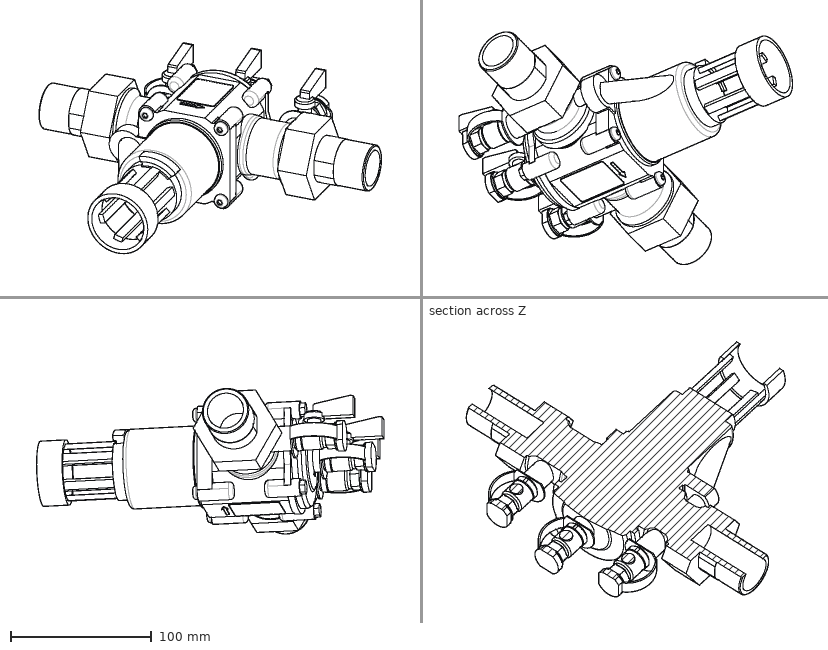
import cadquery as cq
import math


PIPE_MID = 3.8
PIPE_HALF = 126.0
THREAD_R = 33.5 / 2
THREAD_LEN = 23.2
THREAD_CHAMFER = 0.8
TAIL_R = 34.0 / 2
TAIL_FLAT = 32.0 / 2
BORE_R = 26.0 / 2
BORE_DEPTH = 50.5
NUT_OUTER = 87.7
NUT_INNER = 65.3
NUT_FLATS = 52.2
NECK_COLLAR_R = 24.0
NECK_COLLAR_LEN = 2.3
NECK_FLARE_LEN = 5.3
FLARE_HOLLOW = 0.35
INLET_R = 19.5
INLET_SHOULDER_R = 24.7
SHOULDER_TAPER = 1.8
SHOULDER_ROOT_X = -25.2
OUTLET_R = 20.5
OUTLET_STEP_R = 21.7
STEP_ROOT_X = 25.2

OVERLAP = 2.5

BODY_R = 37.5
BODY_HALF_X = 34.3
BODY_HALF_Z = 34.0
BODY_BACK = 30.5
BODY_FRONT = -37.3
COVER_R = 34.3
COVER_TOP = 41.5
DISC_R = 75.9 / 2
DISC_LEN = 4.8
PLATE_HALF_X = 35.5
PLATE_LEN = 10.8
WEB_HALF_Z = 31.0
TAB_WIDTH = 4.8
TAB_HALF_Z = 11.5
BOLT_X = 29.0
BOLT_Z = 28.7
BOSS_R = 6.3
BOLT_HEAD_R = 5.0
BOLT_HEAD_LEN = 3.8
HEX_KEY = 4.0
BOSS_ROUND = 2.8
BACK_BOSS_END = 36.5
BACK_BOSS_START = 11.0
FRONT_BOSS_END = -11.8
PANEL_X = 29.0
PANEL_Y = 36.5
PANEL_CORNER = 1.5
PANEL_RAISE = 0.63
ARROW_Y = -22.7

COLLAR_R = 30.2
COLLAR_LEN = 4.0
COLLAR_CHAMFER = 1.0
CUP_R = 28.5
CUP_END = -92.5
CUP_FILLET = 2.8
SPIGOT_R = 22.0
SPIGOT_END = -100.8
LUG_START, LUG_END = 42, 105
LUG_GROOVE_R = 24.2
LUG_GROOVE_DEPTH = 2.0
RING_R = 46.5 / 2
RING_BORE_R = 20.2
RING_BACK = -136.8
RING_FRONT = -155.2
FINGER_COUNT = 6
FINGER_START = 15
FINGER_OUTER_R = 20.5
FINGER_WIDTH = 6.5
FINGER_DEPTH = 3.8
FINGER_END = -143.6

BYPASS_X = -48.0
BYPASS_R = 6.0
UNION_X = -45.0
UNION_R = 12.5
UNION_BACK = -28.0
UNION_LEN = 10.8
UNION_ARM_HALF = 19.0 / 2
DRAIN_R = 16.0 / 2
DRAIN_ANGLE = 24.0
DRAIN_START_X = -41.8
DRAIN_LEN = 50.5

VALVE_X = (-48.0, 0.0, 55.0)
SIDE_WASHER_Y = 36.0
MIDDLE_WASHER_Y = 47.5
STUB_R = 18.0 / 2
STUB_LEN = 10.0
VALVE_NECK_R = 7.8
VALVE_COLLAR_Y = 2.5
VALVE_BARREL_Y, VALVE_BARREL_END = 7.3, 20.2
VALVE_COLLAR_R = 18.5 / 2
WASHER_R = 14.0
WASHER_LEN = 1.13
VALVE_HEX = 16.0
HEX_BACK, HEX_FRONT = 30.7, 24.0
CAP_START, CAP_END = 32.0, 36.8
CAP_COLLAR_R = 10.0
CAP_R = 10.8
CAP_HALF = 18.5 / 2
STRAP_HALF_Z = 9.8 / 2
STRAP_THICKNESS = 1.39
STRAP_BEND_X, STRAP_BEND_Y = 19.7, 13.5
STRAP_END_X, STRAP_END_Y = 8.5, 33.3
STEM_Y = 14.9
STEM_R = 4.8
STEM_HEAD_R = 7.3
STEM_CHAMFER = 1.3
STEM_HEAD_BOTTOM, STEM_HEAD_TOP = 12.5, 18.0
HANDLE_WIDTH = 7.3
HANDLE_START_Y, HANDLE_END_Y = 14.5, 43.5
HANDLE_BOTTOM, HANDLE_LOW_TOP, HANDLE_TOP = 14.0, 23.7, 28.7


def turned_x(points):
    return cq.Workplane("XY").polyline(points).close().revolve(360, (0, 0), (1, 0))


def turned_y(points):
    return cq.Workplane("XY").polyline(points).close().revolve(360, (0, 0), (0, 1))


def along_y(y0, y1):
    """Sketch plane across the Y axis, with the direction and length of its extrusion to y1."""
    return cq.Workplane("XZ", origin=(0, y0, 0)), y0 - y1


def rod_y(radius, y0, y1, x=0.0, z=0.0):
    plane, length = along_y(y0, y1)
    return plane.center(x, z).circle(radius).extrude(length)


def block(x0, x1, y0, y1, z0, z1):
    return cq.Workplane("XY").box(x1 - x0, y1 - y0, z1 - z0, centered=False).translate((x0, y0, z0))


def slab_y(half_x, half_z, y0, y1):
    return block(-half_x, half_x, y1, y0, -half_z, half_z)


def pipe_end():
    """Outlet-side tailpiece, union nut and neck collar, measured from the middle of the pipe."""
    thread_start = PIPE_HALF - THREAD_LEN
    collar_end = NUT_INNER - NECK_COLLAR_LEN
    thread = (
        cq.Workplane("YZ", origin=(thread_start, 0, 0)).circle(THREAD_R).extrude(THREAD_LEN)
        .faces(">X").chamfer(THREAD_CHAMFER)
    )
    tail = cq.Workplane("YZ", origin=(NUT_INNER, 0, 0)).circle(TAIL_R).extrude(thread_start - NUT_INNER)
    tail = tail.intersect(block(NUT_INNER, thread_start, -TAIL_FLAT, TAIL_FLAT, -TAIL_R, TAIL_R))
    nut = (
        cq.Workplane("YZ", origin=(NUT_INNER, 0, 0))
        .polygon(6, NUT_FLATS / math.cos(math.pi / 6)).extrude(NUT_OUTER - NUT_INNER)
    )
    collar = cq.Workplane("YZ", origin=(collar_end, 0, 0)).circle(NECK_COLLAR_R).extrude(NECK_COLLAR_LEN)
    bore = cq.Workplane("YZ", origin=(PIPE_HALF - BORE_DEPTH, 0, 0)).circle(BORE_R).extrude(BORE_DEPTH)
    return nut.union(thread).union(tail).union(collar).cut(bore)


def neck(radius, collar_x, body_x):
    """Pipe neck with a concave flare from its radius up to the nut collar."""
    step = math.copysign(NECK_FLARE_LEN, body_x - collar_x)
    rise = NECK_COLLAR_R - radius
    flare_middle = (collar_x + FLARE_HOLLOW * step, radius + FLARE_HOLLOW * rise)
    return (
        cq.Workplane("XY").moveTo(body_x, 0).lineTo(collar_x, 0).lineTo(collar_x, NECK_COLLAR_R)
        .threePointArc(flare_middle, (collar_x + step, radius))
        .lineTo(body_x, radius).close().revolve(360, (0, 0), (1, 0))
    )


def main_pipe():
    outlet = pipe_end()
    inlet = outlet.mirror("YZ")
    collar_face = NUT_INNER - NECK_COLLAR_LEN
    shoulder_edge_r = INLET_SHOULDER_R - SHOULDER_TAPER
    inlet_shoulder = (
        cq.Workplane("XY").moveTo(SHOULDER_ROOT_X, 0).lineTo(-45.0, 0).lineTo(-45.0, INLET_R)
        .threePointArc((-42.8, INLET_R + 1.3), (-41.5, shoulder_edge_r)).lineTo(-39.8, INLET_SHOULDER_R)
        .lineTo(-33.3, INLET_SHOULDER_R)
        .lineTo(-31.0, shoulder_edge_r).lineTo(SHOULDER_ROOT_X, shoulder_edge_r)
        .close().revolve(360, (0, 0), (1, 0))
    )
    outlet_step = turned_x([
        (STEP_ROOT_X, 0), (40.5, 0), (40.5, OUTLET_R), (38.3, 21.2), (35.8, OUTLET_STEP_R),
        (STEP_ROOT_X, OUTLET_STEP_R),
    ])
    return (
        outlet.translate((PIPE_MID, 0, 0)).union(inlet.translate((PIPE_MID, 0, 0)))
        .union(neck(INLET_R, PIPE_MID - collar_face, 0)).union(neck(OUTLET_R, PIPE_MID + collar_face, 0))
        .union(inlet_shoulder).union(outlet_step)
    )


def front_flange():
    """Square plate at the front of the barrel, with low webs that reach in from the corner bosses."""
    back = BODY_FRONT + PLATE_LEN
    plate = slab_y(PLATE_HALF_X, BOLT_Z, back, BODY_FRONT)
    return plate.union(slab_y(BOLT_X, WEB_HALF_Z, back, BODY_FRONT))


def corner_bosses():
    bosses = None
    for x in (-BOLT_X, BOLT_X):
        for z in (-BOLT_Z, BOLT_Z):
            back = rod_y(BOSS_R, BACK_BOSS_END, BACK_BOSS_START, x, z)
            back = back.faces("<Y").edges().fillet(BOSS_ROUND)
            front = rod_y(BOSS_R, FRONT_BOSS_END, BODY_FRONT, x, z)
            front = front.faces(">Y").edges().fillet(BOSS_ROUND)
            plane, length = along_y(BACK_BOSS_END + BOLT_HEAD_LEN, BACK_BOSS_END)
            hex_head = plane.center(x, z).polygon(6, 2 * BOLT_HEAD_R).extrude(length)
            plane, length = along_y(BODY_FRONT, BODY_FRONT - BOLT_HEAD_LEN)
            cap_head = plane.center(x, z).circle(BOLT_HEAD_R).extrude(length)
            cap_head = cap_head.faces("<Y").edges().fillet(BOLT_HEAD_R / 2)
            plane, length = along_y(BODY_FRONT - BOLT_HEAD_LEN / 2, BODY_FRONT - BOLT_HEAD_LEN)
            socket = plane.center(x, z).polygon(6, HEX_KEY).extrude(length)
            corner = back.union(front).union(hex_head).union(cap_head.cut(socket))
            bosses = corner if bosses is None else bosses.union(corner)
    return bosses


def body():
    barrel = rod_y(BODY_R, BODY_BACK, BODY_FRONT)
    barrel = barrel.intersect(slab_y(BODY_HALF_X, BODY_HALF_Z, BODY_BACK, BODY_FRONT))
    disc_front = BODY_BACK - DISC_LEN
    disc = rod_y(DISC_R, BODY_BACK, disc_front)
    disc = disc.union(slab_y(PLATE_HALF_X, BOLT_Z, BODY_BACK, disc_front))
    cover = turned_y([
        (0, BODY_BACK), (COVER_R, BODY_BACK), (COVER_R, 34.8), (32.8, 37.5), (22.7, 39.0), (21.2, 40.0),
        (STUB_R, COVER_TOP), (0, COVER_TOP),
    ])
    tab = slab_y(TAB_WIDTH / 2, TAB_HALF_Z, COVER_TOP, BODY_BACK)
    return barrel.union(disc).union(cover).union(tab).union(front_flange()).union(corner_bosses())


def raised_marks():
    """Rounded name panel and flow arrow, standing proud of the flat top and bottom of the body."""
    half_height = BODY_HALF_Z + PANEL_RAISE
    base = cq.Workplane("XY", origin=(0, 0, half_height - OVERLAP))
    panel = base.rect(PANEL_X, PANEL_Y).extrude(OVERLAP).edges("|Z").fillet(PANEL_CORNER)
    shaft_start, head_start, tip = -9.3, 3.5, 9.0
    shaft_half, head_half = 1.13, 2.4
    arrow = base.center(0, ARROW_Y).polyline([
        (shaft_start, -shaft_half), (head_start, -shaft_half), (head_start, -head_half), (tip, 0),
        (head_start, head_half), (head_start, shaft_half), (shaft_start, shaft_half),
    ]).close().extrude(OVERLAP)
    top = panel.union(arrow)
    return top.union(top.mirror("XY"))


def sector(inner, outer, y0, y1, start, end):
    """Part of a ring around the Y axis, between two angles measured from +X towards +Z."""
    def at(radius, angle):
        return radius * math.cos(math.radians(angle)), radius * math.sin(math.radians(angle))
    middle = (start + end) / 2
    plane, length = along_y(y0, y1)
    return (
        plane.moveTo(*at(inner, start)).lineTo(*at(outer, start))
        .threePointArc(at(outer, middle), at(outer, end)).lineTo(*at(inner, end))
        .threePointArc(at(inner, middle), at(inner, start)).close().extrude(length)
    )


def relief_outlet():
    collar_end = BODY_FRONT - COLLAR_LEN
    collar = turned_y([
        (0, BODY_FRONT), (COLLAR_R, BODY_FRONT), (COLLAR_R, collar_end + COLLAR_CHAMFER),
        (COLLAR_R - COLLAR_CHAMFER, collar_end), (0, collar_end),
    ])
    cup = rod_y(CUP_R, BODY_FRONT, CUP_END).faces("<Y").edges().fillet(CUP_FILLET)
    spigot = rod_y(SPIGOT_R, CUP_END, SPIGOT_END)
    lug = sector(RING_BORE_R, CUP_R, CUP_END, SPIGOT_END, LUG_START, LUG_END)
    groove = sector(
        RING_BORE_R, LUG_GROOVE_R, SPIGOT_END + LUG_GROOVE_DEPTH, SPIGOT_END, LUG_START, LUG_END
    )
    ring = rod_y(RING_R, RING_BACK, RING_FRONT).cut(rod_y(RING_BORE_R, RING_BACK, RING_FRONT))
    outlet = collar.union(cup).union(spigot).union(lug).cut(groove).union(ring)
    inner = RING_BORE_R - FINGER_DEPTH
    finger_zone = rod_y(FINGER_OUTER_R, SPIGOT_END + OVERLAP, FINGER_END)
    finger = block(
        inner, RING_R, FINGER_END, SPIGOT_END + OVERLAP, -FINGER_WIDTH / 2, FINGER_WIDTH / 2
    ).intersect(finger_zone)
    for i in range(FINGER_COUNT):
        angle = FINGER_START + i * 360 / FINGER_COUNT
        outlet = outlet.union(finger.rotate((0, 0, 0), (0, 1, 0), -angle))
    return outlet


def bypass():
    union_front = UNION_BACK - UNION_LEN
    stub = rod_y(BYPASS_R, 0, UNION_BACK, BYPASS_X)
    union = rod_y(UNION_R, UNION_BACK, union_front, UNION_X)
    arm = block(UNION_X, -CUP_R, union_front, UNION_BACK, -UNION_ARM_HALF, UNION_ARM_HALF)
    drain = rod_y(DRAIN_R, OVERLAP, -DRAIN_LEN).rotate((0, 0, 0), (0, 0, 1), DRAIN_ANGLE)
    drain = drain.translate((DRAIN_START_X, union_front, 0))
    return stub.union(union).union(arm).union(drain)


def valve(cap_along_x):
    """Test valve pointing along +Y, with its washer at Y = 0 and its cap strap on the +X side."""
    spindle = turned_y([
        (0, -STUB_LEN), (STUB_R, -STUB_LEN), (STUB_R, 0), (VALVE_NECK_R, 0), (VALVE_NECK_R, VALVE_COLLAR_Y),
        (VALVE_COLLAR_R, VALVE_COLLAR_Y), (VALVE_COLLAR_R, VALVE_BARREL_Y - 0.8), (STUB_R, VALVE_BARREL_Y),
        (STUB_R, VALVE_BARREL_END), (VALVE_NECK_R, VALVE_BARREL_END + 1.5), (VALVE_NECK_R, HEX_BACK),
        (0, HEX_BACK),
    ])
    plane, length = along_y(HEX_BACK, HEX_FRONT)
    hexagon = plane.polygon(6, VALVE_HEX / math.cos(math.pi / 6)).extrude(length)
    collar = rod_y(CAP_COLLAR_R, CAP_START, HEX_BACK)
    half_x, half_z = (CAP_R, CAP_HALF) if cap_along_x else (CAP_HALF, CAP_R)
    cap = rod_y(CAP_R, CAP_END, CAP_START).intersect(slab_y(half_x, half_z, CAP_END, CAP_START))
    washer = rod_y(WASHER_R, WASHER_LEN, 0)
    strap_root = WASHER_R - STRAP_THICKNESS
    strap = (
        cq.Workplane("XY", origin=(0, 0, -STRAP_HALF_Z)).moveTo(strap_root, 0).lineTo(WASHER_R, 0)
        .threePointArc((STRAP_BEND_X, STRAP_BEND_Y), (STRAP_END_X, STRAP_END_Y))
        .lineTo(STRAP_END_X, STRAP_END_Y - STRAP_THICKNESS)
        .threePointArc((STRAP_BEND_X - STRAP_THICKNESS, STRAP_BEND_Y), (strap_root, 0))
        .close().extrude(2 * STRAP_HALF_Z)
    )
    stem = cq.Workplane("XY", origin=(0, STEM_Y, 0)).circle(STEM_R).extrude(STEM_HEAD_BOTTOM)
    stem_head = (
        cq.Workplane("XY", origin=(0, STEM_Y, STEM_HEAD_BOTTOM)).circle(STEM_HEAD_R)
        .extrude(STEM_HEAD_TOP - STEM_HEAD_BOTTOM).faces(">Z").edges().chamfer(STEM_CHAMFER)
    )
    handle = (
        cq.Workplane("YZ", origin=(-HANDLE_WIDTH / 2, 0, 0))
        .polyline([
            (HANDLE_END_Y, HANDLE_BOTTOM), (HANDLE_END_Y, HANDLE_TOP - 0.5), (HANDLE_END_Y - 2.0, HANDLE_TOP),
            (HANDLE_START_Y + 1.0, HANDLE_LOW_TOP), (HANDLE_START_Y, HANDLE_LOW_TOP - 1.3),
            (HANDLE_START_Y, HANDLE_BOTTOM),
        ])
        .close().extrude(HANDLE_WIDTH)
    )
    outlet = spindle.union(hexagon).union(collar).union(cap)
    return outlet.union(washer).union(strap).union(stem).union(stem_head).union(handle)


def test_valves():
    left_x, middle_x, right_x = VALVE_X
    side = valve(False).union(rod_y(STUB_R, 0, -SIDE_WASHER_Y))
    left = side.mirror("YZ").translate((left_x, SIDE_WASHER_Y, 0))
    right = side.translate((right_x, SIDE_WASHER_Y, 0))
    middle = valve(True).translate((middle_x, MIDDLE_WASHER_Y, 0))
    return left.union(right).union(middle)


result = (
    body().union(main_pipe()).union(relief_outlet()).union(bypass())
    .union(raised_marks()).union(test_valves())
)